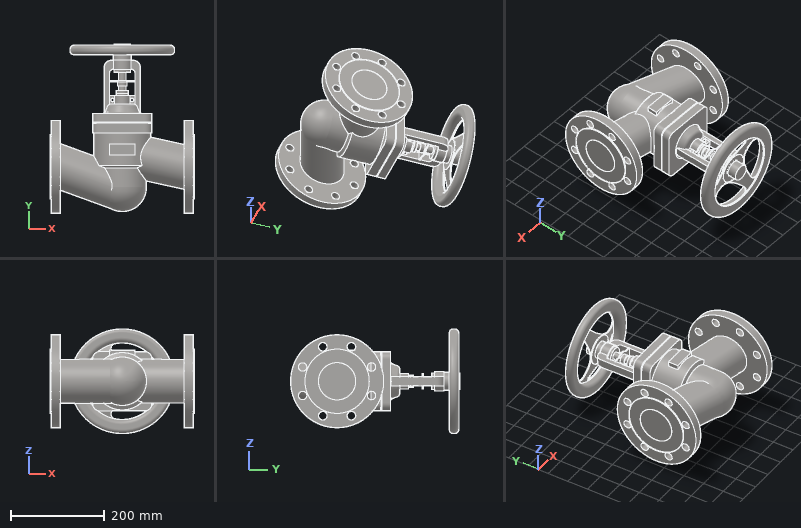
import cadquery as cq
import math


FACE_TO_FACE = 310
FLANGE_DIAMETER = 200
FLANGE_THICKNESS = 20
RAISED_FACE_DIAMETER = 138
RAISED_FACE_HEIGHT = 2.5
BOLT_CIRCLE_DIAMETER = 160
BOLT_HOLE_DIAMETER = 18
BOLT_COUNT = 8
PORT_DIAMETER = 80
PORT_RECESS_DEPTH = 0.5

PIPE_RADIUS = 47.2
PIPE_PIVOT_X = 133
INLET_SLOPE_ANGLE = 20
OUTLET_SLOPE_ANGLE = 12.3
BOWL_RADIUS = 52
BOWL_CENTRE_Y = -44
NECK_RADIUS = 61.5
NECK_TAPER_HEIGHT = 5
NECK_BOTTOM_Y = 3
NAMEPLATE_WIDTH = 54
NAMEPLATE_BOTTOM_Y = 25.5
NAMEPLATE_TOP_Y = 49.5
NAMEPLATE_FACE_Z = 66.5

JOINT_SIDE = 127.4
JOINT_CORNER_RADIUS = 16
JOINT_BOTTOM_Y = 73
GASKET_BOTTOM_Y = 94
GASKET_TOP_Y = 96
BONNET_TOP_Y = 115
GASKET_RADIUS = 56

DOME_TOP_Y = 134.7
DOME_TOP_RADIUS = 26.5
DOME_SHOULDER_ROUND = 9
DOME_SHOULDER_Y = 128
DOME_SHOULDER_RADIUS = 34
DOME_FOOT_Y = 117.5
DOME_FOOT_RADIUS = 38
DOME_BASE_RADIUS = 41
DOME_FOOT_ROUND = 5

YOKE_WIDTH = 78
YOKE_OPENING_WIDTH = 54
YOKE_DEPTH = 20
YOKE_TOP_Y = 229
YOKE_OPENING_TOP_Y = 209
YOKE_OUTER_RADIUS = 16
YOKE_INNER_RADIUS = 7
YOKE_BOSS_RADIUS = 21
YOKE_COLLAR_RADIUS = 18.2
YOKE_COLLAR_BOTTOM_Y = 202.5
LUG_THICKNESS = 10
LUG_HOLE_DIAMETER = 6.5
LUG_HOLE_SPACING = 42
LUG_HOLE_Y = 143.5

STEM_RADIUS = 8.2
STEM_SLEEVE_RADIUS = 10.5
STEM_SLEEVE_BOTTOM_Y = 173
GUIDE_RADIUS = 17
GUIDE_ARM_HEIGHT = 23
GUIDE_TOP_Y = 185
GUIDE_BOTTOM_Y = 182.5
GLAND_RADIUS = 13.2
GLAND_TOP_Y = 164
GLAND_FOLLOWER_RADIUS = 12.9
GLAND_BOTTOM_Y = 157.5
PACKING_RADIUS = 17
PACKING_TOP_Y = 153.5

WHEEL_RADIUS = 112.5
WHEEL_INNER_RADIUS = 82.25
WHEEL_BOTTOM_Y = 240.5
WHEEL_THICKNESS = 21
RIM_LOWER_ROUND = 8.5
RIM_UPPER_ROUND = 10
RIM_BORE_LOWER_ROUND = 10.75
RIM_BORE_UPPER_ROUND = 2
HUB_RADIUS = 19.5
HUB_DISC_RADIUS = 33.5
HUB_CAP_RADIUS = 18
HUB_CAP_TOP_Y = 263.5
WEB_THICKNESS = 2.5
WEB_RISE = 18
WEB_RING_WIDTH = 0.5
SPOKE_COUNT = 3
SPOKE_OPENING_ARC_RADIUS = 138
SPOKE_OPENING_NEAR_RADIUS = 35
SPOKE_CORNER_RADIUS = 10


def disc(radius, bottom_y, top_y):
    """Cylinder on the stem axis."""
    base = cq.Vector(0, bottom_y, 0)
    return cq.Workplane(cq.Solid.makeCylinder(radius, top_y - bottom_y, base, cq.Vector(0, 1, 0)))


def block(width, bottom_y, top_y, depth):
    """Box centred on the stem axis: width along X, depth along Z."""
    box = cq.Workplane("XY").box(width, top_y - bottom_y, depth)
    return box.translate((0, (bottom_y + top_y) / 2, 0))


def flange(side):
    """Drilled end flange with its raised face; side is -1 for the inlet, +1 for the outlet."""
    outer_face_x = side * FACE_TO_FACE / 2
    shape = cq.Workplane("YZ").circle(RAISED_FACE_DIAMETER / 2).extrude(-side * RAISED_FACE_HEIGHT)
    plate = (
        cq.Workplane("YZ", origin=(-side * RAISED_FACE_HEIGHT, 0, 0))
        .circle(FLANGE_DIAMETER / 2)
        .polarArray(BOLT_CIRCLE_DIAMETER / 2, 180 / BOLT_COUNT, 360, BOLT_COUNT)
        .circle(BOLT_HOLE_DIAMETER / 2)
        .extrude(-side * FLANGE_THICKNESS)
    )
    recess = cq.Workplane("YZ").circle(PORT_DIAMETER / 2).extrude(-side * PORT_RECESS_DEPTH)
    return shape.union(plate).cut(recess).translate((outer_face_x, 0, 0))


def sloping_pipe(side, slope_angle):
    """Pipe from inside a flange to the stem axis; it descends toward +X and is trimmed within the flange."""
    slope = math.radians(slope_angle)
    direction = cq.Vector(-side * math.cos(slope), side * math.sin(slope), 0)
    pivot = cq.Vector(side * PIPE_PIVOT_X, 0, 0)
    start = pivot - direction * FLANGE_THICKNESS
    length = PIPE_PIVOT_X / math.cos(slope) + FLANGE_THICKNESS
    pipe = cq.Solid.makeCylinder(PIPE_RADIUS, length, start, direction)
    trim_width = FACE_TO_FACE - FLANGE_THICKNESS
    trim = cq.Workplane("XY").box(trim_width, 2 * FLANGE_DIAMETER, FLANGE_DIAMETER)
    return cq.Workplane(pipe).intersect(trim)


def body():
    taper_bottom_y = NECK_BOTTOM_Y - NECK_TAPER_HEIGHT
    neck = (
        cq.Workplane("XY")
        .moveTo(0, BOWL_CENTRE_Y - BOWL_RADIUS)
        .radiusArc((BOWL_RADIUS, BOWL_CENTRE_Y), -BOWL_RADIUS)
        .lineTo(BOWL_RADIUS, taper_bottom_y)
        .lineTo(NECK_RADIUS, NECK_BOTTOM_Y)
        .lineTo(NECK_RADIUS, JOINT_BOTTOM_Y)
        .lineTo(0, JOINT_BOTTOM_Y)
        .close()
        .revolve(360, (0, 0, 0), (0, 1, 0))
    )
    nameplate = block(NAMEPLATE_WIDTH, NAMEPLATE_BOTTOM_Y, NAMEPLATE_TOP_Y, NAMEPLATE_FACE_Z)
    nameplate = nameplate.translate((0, 0, NAMEPLATE_FACE_Z / 2))
    shape = neck.union(nameplate)
    shape = shape.union(sloping_pipe(-1, INLET_SLOPE_ANGLE))
    shape = shape.union(sloping_pipe(1, OUTLET_SLOPE_ANGLE))
    return shape.union(flange(-1)).union(flange(1))


def joint_plate(bottom_y, top_y):
    return block(JOINT_SIDE, bottom_y, top_y, JOINT_SIDE).edges("|Y").fillet(JOINT_CORNER_RADIUS)


def bonnet():
    dome = (
        cq.Workplane("XY")
        .moveTo(0, BONNET_TOP_Y)
        .lineTo(DOME_BASE_RADIUS, BONNET_TOP_Y)
        .radiusArc((DOME_FOOT_RADIUS, DOME_FOOT_Y), DOME_FOOT_ROUND)
        .lineTo(DOME_SHOULDER_RADIUS, DOME_SHOULDER_Y)
        .radiusArc((DOME_TOP_RADIUS, DOME_TOP_Y), -DOME_SHOULDER_ROUND)
        .lineTo(0, DOME_TOP_Y)
        .close()
        .revolve(360, (0, 0, 0), (0, 1, 0))
    )
    shape = joint_plate(JOINT_BOTTOM_Y, GASKET_BOTTOM_Y)
    shape = shape.union(disc(GASKET_RADIUS, GASKET_BOTTOM_Y, GASKET_TOP_Y))
    shape = shape.union(joint_plate(GASKET_TOP_Y, BONNET_TOP_Y))
    return shape.union(dome)


def yoke():
    frame = block(YOKE_WIDTH, BONNET_TOP_Y, YOKE_TOP_Y, YOKE_DEPTH)
    frame = frame.edges("|Z and >Y").fillet(YOKE_OUTER_RADIUS)
    opening = block(YOKE_OPENING_WIDTH, BONNET_TOP_Y, YOKE_OPENING_TOP_Y, YOKE_DEPTH)
    opening = opening.edges("|Z and >Y").fillet(YOKE_INNER_RADIUS)
    lugs = block(YOKE_OPENING_WIDTH, DOME_TOP_Y, PACKING_TOP_Y, LUG_THICKNESS)
    lug_holes = (
        cq.Workplane("XY")
        .pushPoints([(-LUG_HOLE_SPACING / 2, LUG_HOLE_Y), (LUG_HOLE_SPACING / 2, LUG_HOLE_Y)])
        .circle(LUG_HOLE_DIAMETER / 2)
        .extrude(LUG_THICKNESS, both=True)
    )
    shape = frame.cut(opening).union(lugs.cut(lug_holes))
    shape = shape.union(disc(YOKE_BOSS_RADIUS, YOKE_OPENING_TOP_Y, YOKE_TOP_Y))
    return shape.union(disc(YOKE_COLLAR_RADIUS, YOKE_COLLAR_BOTTOM_Y, YOKE_OPENING_TOP_Y))


def stem():
    shape = disc(STEM_RADIUS, DOME_TOP_Y, YOKE_TOP_Y)
    shape = shape.union(disc(GUIDE_RADIUS, GUIDE_BOTTOM_Y, GUIDE_TOP_Y))
    shape = shape.union(block(YOKE_OPENING_WIDTH, GUIDE_BOTTOM_Y, GUIDE_TOP_Y, GUIDE_ARM_HEIGHT))
    shape = shape.union(disc(STEM_SLEEVE_RADIUS, STEM_SLEEVE_BOTTOM_Y, GUIDE_BOTTOM_Y))
    shape = shape.union(disc(GLAND_RADIUS, GLAND_BOTTOM_Y, GLAND_TOP_Y))
    shape = shape.union(disc(GLAND_FOLLOWER_RADIUS, PACKING_TOP_Y, GLAND_BOTTOM_Y))
    return shape.union(disc(PACKING_RADIUS, DOME_TOP_Y, PACKING_TOP_Y))


def wheel_rim():
    """Rim with a flat band around its rounded outer side and a straight, round-edged bore."""
    top_y = WHEEL_BOTTOM_Y + WHEEL_THICKNESS
    return (
        cq.Workplane("XY")
        .moveTo(WHEEL_INNER_RADIUS + RIM_BORE_LOWER_ROUND, WHEEL_BOTTOM_Y)
        .lineTo(WHEEL_RADIUS - RIM_LOWER_ROUND, WHEEL_BOTTOM_Y)
        .radiusArc((WHEEL_RADIUS, WHEEL_BOTTOM_Y + RIM_LOWER_ROUND), -RIM_LOWER_ROUND)
        .lineTo(WHEEL_RADIUS, top_y - RIM_UPPER_ROUND)
        .radiusArc((WHEEL_RADIUS - RIM_UPPER_ROUND, top_y), -RIM_UPPER_ROUND)
        .lineTo(WHEEL_INNER_RADIUS + RIM_BORE_UPPER_ROUND, top_y)
        .radiusArc((WHEEL_INNER_RADIUS, top_y - RIM_BORE_UPPER_ROUND), -RIM_BORE_UPPER_ROUND)
        .lineTo(WHEEL_INNER_RADIUS, WHEEL_BOTTOM_Y + RIM_BORE_LOWER_ROUND)
        .radiusArc((WHEEL_INNER_RADIUS + RIM_BORE_LOWER_ROUND, WHEEL_BOTTOM_Y), -RIM_BORE_LOWER_ROUND)
        .close()
        .revolve(360, (0, 0, 0), (0, 1, 0))
    )


def spoke_opening():
    """Opening toward +X between two spokes: a shallow arc past the hub, closed by a ring in the rim bore."""
    arc_centre = SPOKE_OPENING_NEAR_RADIUS + SPOKE_OPENING_ARC_RADIUS
    height = WHEEL_THICKNESS + WEB_RISE
    plane = cq.Workplane("XZ", origin=(0, HUB_CAP_TOP_Y, 0))
    inside_rim = plane.circle(WHEEL_INNER_RADIUS - WEB_RING_WIDTH).extrude(height)
    past_hub = plane.center(arc_centre, 0).circle(SPOKE_OPENING_ARC_RADIUS).extrude(height)
    return inside_rim.intersect(past_hub).edges("|Y").fillet(SPOKE_CORNER_RADIUS)


def handwheel():
    web_outer_radius = WHEEL_INNER_RADIUS + RIM_BORE_UPPER_ROUND
    web = (
        cq.Workplane("XY")
        .moveTo(0, WHEEL_BOTTOM_Y)
        .lineTo(HUB_DISC_RADIUS, WHEEL_BOTTOM_Y)
        .lineTo(web_outer_radius, WHEEL_BOTTOM_Y + WEB_RISE)
        .line(0, WEB_THICKNESS)
        .lineTo(HUB_DISC_RADIUS, WHEEL_BOTTOM_Y + WEB_THICKNESS)
        .lineTo(0, WHEEL_BOTTOM_Y + WEB_THICKNESS)
        .close()
        .revolve(360, (0, 0, 0), (0, 1, 0))
    )
    opening = spoke_opening()
    for index in range(SPOKE_COUNT):
        angle = (index + 0.5) * 360 / SPOKE_COUNT
        web = web.cut(opening.rotate((0, 0, 0), (0, 1, 0), angle))
    shape = web.union(wheel_rim())
    shape = shape.union(disc(HUB_RADIUS, YOKE_TOP_Y, WHEEL_BOTTOM_Y))
    return shape.union(disc(HUB_CAP_RADIUS, WHEEL_BOTTOM_Y, HUB_CAP_TOP_Y))


result = body().union(bonnet()).union(yoke()).union(stem()).union(handwheel())